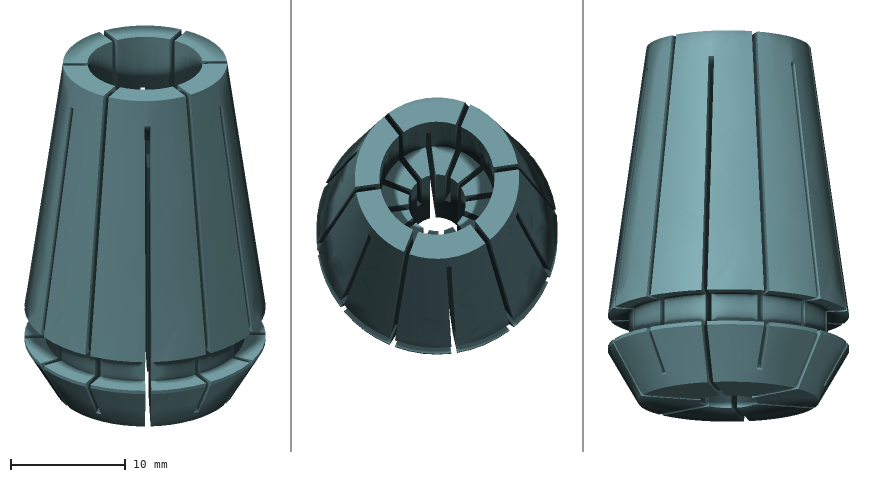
import cadquery as cq
import math

LENGTH = 31.5
MAX_RADIUS = 10.5

NUT_CONE_ANGLE = 30.0
NUT_CONE_HEIGHT = 4.53
RIM_HEIGHT = 0.32
GROOVE_WIDTH = 2.8
GROOVE_RADIUS = 8.68
TAPER_ANGLE = 8.0

GRIP_RADIUS = 2.5
RELIEF_RADIUS = 5.0
GRIP_LENGTH = 20.0

SLOTS_PER_END = 6
SLOT_WIDTH = 0.5
SAW_RADIUS = 23.0
TOP_SLOT_SAW_Z = 18.87
BOTTOM_SLOT_SAW_Z = 12.22
TOP_SLOT_FIRST_ANGLE = 0.0
SLOT_PITCH = 360.0 / SLOTS_PER_END
BOTTOM_SLOT_FIRST_ANGLE = TOP_SLOT_FIRST_ANGLE + SLOT_PITCH / 2
CUT_MARGIN = 1.0


def tan_deg(angle):
    return math.tan(math.radians(angle))


def collet_body():
    """Revolved body with the nut cone, groove, main taper and stepped bore."""
    groove_bottom = NUT_CONE_HEIGHT + RIM_HEIGHT
    groove_top = groove_bottom + GROOVE_WIDTH
    nut_face_radius = MAX_RADIUS - NUT_CONE_HEIGHT * tan_deg(NUT_CONE_ANGLE)
    top_radius = MAX_RADIUS - (LENGTH - groove_top) * tan_deg(TAPER_ANGLE)
    outline = [
        (GRIP_RADIUS, 0),
        (nut_face_radius, 0),
        (MAX_RADIUS, NUT_CONE_HEIGHT),
        (MAX_RADIUS, groove_bottom),
        (GROOVE_RADIUS, groove_bottom),
        (GROOVE_RADIUS, groove_top),
        (MAX_RADIUS, groove_top),
        (top_radius, LENGTH),
        (RELIEF_RADIUS, LENGTH),
        (RELIEF_RADIUS, GRIP_LENGTH),
        (GRIP_RADIUS, GRIP_LENGTH),
    ]
    return cq.Workplane("XZ").polyline(outline).close().revolve(360, (0, 0), (0, 1))


def slot_cutter(saw_z, open_z, angle):
    """Radial slot from the axis outwards, open at open_z.

    Its closed end is an arc of the saw, which is centred at height saw_z
    and is tangent to the collet axis.
    """
    outer_radius = MAX_RADIUS + CUT_MARGIN
    toward_closed = math.copysign(1, saw_z - open_z)

    def arc_point(radius):
        rise = math.sqrt(SAW_RADIUS**2 - (SAW_RADIUS - radius) ** 2)
        return (radius, saw_z + toward_closed * rise)

    return (
        cq.Workplane("XZ")
        .moveTo(0, open_z)
        .lineTo(0, saw_z)
        .threePointArc(arc_point(outer_radius / 2), arc_point(outer_radius))
        .lineTo(outer_radius, open_z)
        .close()
        .extrude(SLOT_WIDTH / 2, both=True)
        .rotate((0, 0, 0), (0, 0, 1), angle)
    )


def cut_slots(body):
    """Cut both sets of slots, spaced evenly around the axis."""
    for index in range(SLOTS_PER_END):
        turn = index * SLOT_PITCH
        top_slot = slot_cutter(TOP_SLOT_SAW_Z, LENGTH + CUT_MARGIN, TOP_SLOT_FIRST_ANGLE + turn)
        bottom_slot = slot_cutter(BOTTOM_SLOT_SAW_Z, -CUT_MARGIN, BOTTOM_SLOT_FIRST_ANGLE + turn)
        body = body.cut(top_slot).cut(bottom_slot)
    return body


result = cut_slots(collet_body())